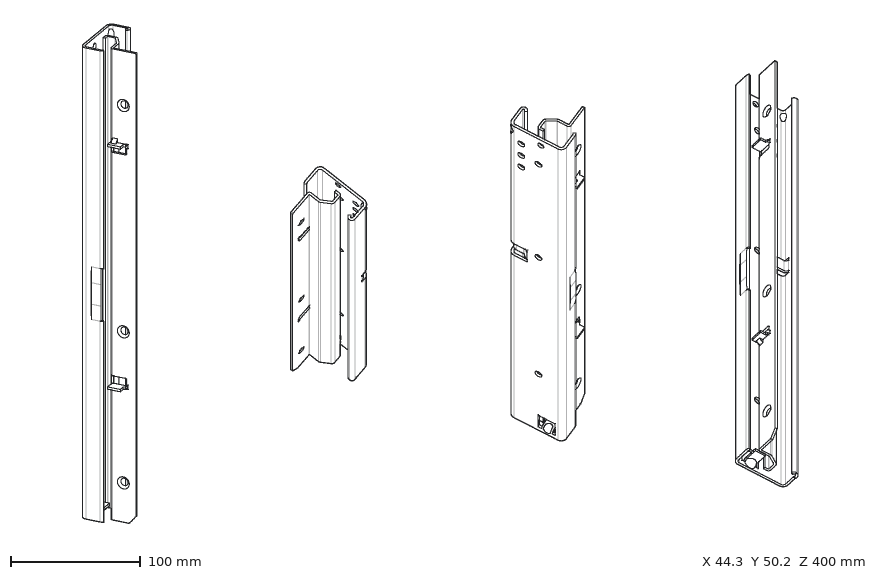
import cadquery as cq
import math

total_width = 44.3
total_depth = 50.2
total_length = 400.0
top_z = total_length

sheet = 2.2
rail_sheet = 2.0
stop_drop = 0.8
bottom_z = stop_drop
pad_height = 0.6

channel_front = pad_height
channel_back = total_depth
corner_radius = 4.8
web_mid_x = sheet / 2
corner_bend = corner_radius - sheet / 2
flange_flat_end = 16.9
front_curl_angle = 30
front_curl_bend = 4.9
front_curl_tip = 0.05
back_curl_bend = 2.0
back_curl_return = 60
back_curl_drop = 3.2
back_curl_tip = 2.2

web_hole_diameter = 6.0
mounting_column = 11.4
mounting_hole_drops = (19.0, 34.8, 50.6)
center_column = 27.1
center_hole_drops = (34.8, 162.4, 322.4)
end_hole_diameter = 5.2
end_hole_column = 29.2
end_hole_drop = 7.6

bridge_mid_z = 231.4
bridge_window_height = 15.7
bridge_height = 10.8
bridge_window_reach = 16.9
bridge_flat_reach = 11.8
bridge_inner_x = 6.0
bridge_ramp_bend = 1.5

dimple_drop = 7.4
dimple_radius = 3.9

tab_window_near = 26.5
tab_window_size = 15.7
tab_window_bottom = 5.4
tab_near = 30.0
tab_width = 9.7
tab_reach_x = 15.7
tab_bend = 3.3
tab_dent_radius = 3.9
tab_dent_inset = 2.5

lug_start_x = 15.0
lug_depth = 3.0

pad_bottom = 171.0
pad_length = 44.6
pad_slope_length = 13.2
pad_start_x = 9.6
pad_end_x = 18.1

flange_back_y = 10.3
rail_flange_mid_y = flange_back_y - rail_sheet / 2
rail_wall_mid_x = 22.9
rail_wall_top_y = 19.8
rail_crest_mid_y = 28.5
rail_crest_end_x = 17.5
rail_lip_mid_x = 9.1
rail_lip_end_y = 23.9
rail_bend = 1.3
rail_slant_bend = 2.0

flange_chamfer_x = 6.0
flange_chamfer_z = 7.2
flange_top_radius = 1.2

screw_x = 33.4
screw_drops = (46.1, 237.8, 365.8)
screw_diameter = 6.0
screw_sink_diameter = 10.2

hook_folds = ((78.5, 1), (286.0, -1))
hook_window_height = 9.1
hook_window_left = 22.2
hook_window_right = 36.2
hook_relief_right = 37.3
hook_relief_height = 3.6
hook_left = 22.9
hook_right = 33.9
hook_root_right = 35.4
hook_root_depth = 1.4
hook_front_y = 2.0
hook_corner_radius = 1.2
hook_rib_left = 24.0
hook_rib_width = 4.4
hook_rib_size = 3.2


def box(x, y, z):
    """Block between the (low, high) limits along each axis."""
    block = cq.Workplane("XY").box(x[1] - x[0], y[1] - y[0], z[1] - z[0], centered=False)
    return block.translate((x[0], y[0], z[0]))


def prism_along_x(points_yz, x):
    return cq.Workplane("YZ").polyline(points_yz).close().extrude(x[1] - x[0]).translate((x[0], 0, 0))


def bent_sheet(corners, bends, thickness, z):
    """Folded sheet along Z: corners of its mid line, and the mid-sheet radius at each inner corner."""
    points = [cq.Vector(x, y, 0) for x, y in corners]
    runs = [(end - start).normalized() for start, end in zip(points, points[1:])]
    normals = [cq.Vector(-run.y, run.x, 0) for run in runs]

    def side(offset):
        """Start point of one face, the (start, middle, end) of each of its arcs, and its end point."""
        arcs = []
        for i, radius in enumerate(bends):
            corner = points[i + 1]
            turn = runs[i].getAngle(runs[i + 1])
            turn_side = math.copysign(1, runs[i].cross(runs[i + 1]).z)
            setback = radius * math.tan(turn / 2)
            start = corner - runs[i] * setback
            end = corner + runs[i + 1] * setback
            center = start + normals[i] * (turn_side * radius)
            middle = center + (corner - center).normalized() * (radius - turn_side * offset)
            arcs.append((start + normals[i] * offset, middle, end + normals[i + 1] * offset))
        return points[0] + normals[0] * offset, arcs, points[-1] + normals[-1] * offset

    left_start, left_arcs, left_end = side(thickness / 2)
    right_start, right_arcs, right_end = side(-thickness / 2)
    outline = cq.Workplane("XY").moveTo(left_start.x, left_start.y)
    for start, middle, end in left_arcs:
        outline = outline.lineTo(start.x, start.y).threePointArc((middle.x, middle.y), (end.x, end.y))
    outline = outline.lineTo(left_end.x, left_end.y).lineTo(right_end.x, right_end.y)
    for start, middle, end in reversed(right_arcs):
        outline = outline.lineTo(end.x, end.y).threePointArc((middle.x, middle.y), (start.x, start.y))
    outline = outline.lineTo(right_start.x, right_start.y).close()
    return outline.extrude(z[1] - z[0]).translate((0, 0, z[0]))


def channel_sheet(z):
    front_y = channel_front + sheet / 2
    back_y = channel_back - sheet / 2
    curl = math.radians(front_curl_angle)
    setback = front_curl_bend * math.tan(curl / 2)
    front_bend_x = flange_flat_end + setback
    tip_leg = setback + front_curl_tip
    front_tip = (front_bend_x + tip_leg * math.cos(curl), front_y + tip_leg * math.sin(curl))
    back_bend_x = flange_flat_end + back_curl_bend
    back_low_y = back_y - back_curl_drop
    back_turn = math.radians(back_curl_return)
    back_tip = (
        back_bend_x - back_curl_tip * math.sin(back_turn),
        back_low_y - back_curl_tip * math.cos(back_turn),
    )
    corners = [
        front_tip,
        (front_bend_x, front_y),
        (web_mid_x, front_y),
        (web_mid_x, back_y),
        (back_bend_x, back_y),
        (back_bend_x, back_low_y),
        back_tip,
    ]
    bends = [front_curl_bend, corner_bend, corner_bend, back_curl_bend, back_curl_bend]
    return bent_sheet(corners, bends, sheet, z)


def web_holes(diameter, column, drops):
    spots = [(channel_back - column, top_z - drop) for drop in drops]
    return cq.Workplane("YZ").pushPoints(spots).circle(diameter / 2).extrude(sheet)


def add_bridge(body):
    mid_x = bridge_inner_x - sheet / 2
    flange_y = channel_back - sheet / 2
    ramp_start_y = channel_back - bridge_flat_reach
    ramp_end_y = channel_back - bridge_window_reach
    joint_x = mid_x + corner_bend
    half_window = bridge_window_height / 2
    half_bridge = bridge_height / 2
    window = box(
        (0, joint_x),
        (ramp_end_y, channel_back),
        (bridge_mid_z - half_window, bridge_mid_z + half_window),
    )
    strip = bent_sheet(
        [
            (joint_x + sheet, flange_y),
            (mid_x, flange_y),
            (mid_x, ramp_start_y),
            (web_mid_x, ramp_end_y),
            (web_mid_x, ramp_end_y - sheet),
        ],
        [corner_bend, bridge_ramp_bend, bridge_ramp_bend],
        sheet,
        (bridge_mid_z - half_bridge, bridge_mid_z + half_bridge),
    )
    return body.cut(window).union(strip)


def add_dimple(body):
    spot = (0, channel_back, top_z - dimple_drop)
    outer_radius = dimple_radius + sheet
    inside = box(
        (sheet / 2, outer_radius),
        (channel_back - outer_radius, channel_back - sheet / 2),
        (spot[2] - outer_radius, spot[2] + outer_radius),
    )
    bump = cq.Workplane("XY").sphere(outer_radius).translate(spot).intersect(inside)
    hollow = cq.Workplane("XY").sphere(dimple_radius).translate(spot)
    return body.union(bump).cut(hollow)


def add_stop_tab(body):
    window_y = channel_back - tab_window_near
    window = box(
        (0, sheet),
        (window_y - tab_window_size, window_y),
        (tab_window_bottom, tab_window_bottom + tab_window_size),
    )
    tab_y = channel_back - tab_near
    tab_top = tab_window_bottom + tab_bend
    tab = (
        cq.Workplane("XZ")
        .moveTo(0, tab_window_bottom)
        .radiusArc((tab_bend, tab_top), tab_bend)
        .lineTo(tab_reach_x, tab_top)
        .lineTo(tab_reach_x, tab_top - sheet)
        .lineTo(tab_bend, tab_top - sheet)
        .radiusArc((sheet, tab_window_bottom), -(tab_bend - sheet))
        .close()
        .extrude(tab_width)
        .translate((0, tab_y, 0))
    )
    dent_spot = (tab_dent_inset, tab_y - tab_width / 2, tab_top - tab_dent_inset)
    below_tab = box(
        (sheet / 2, tab_reach_x),
        (tab_y - tab_width, tab_y),
        (0, tab_top - sheet / 2),
    )
    bump_radius = tab_dent_radius + sheet / 2
    bump = cq.Workplane("XY").sphere(bump_radius).translate(dent_spot).intersect(below_tab)
    dent = cq.Workplane("XY").sphere(tab_dent_radius).translate(dent_spot)
    return body.cut(window).union(tab).union(bump).cut(dent)


def stop_lug():
    reach = box(
        (lug_start_x, total_width),
        (channel_back - lug_depth, channel_back),
        (0, bottom_z),
    )
    return channel_sheet((0, bottom_z)).intersect(reach)


def add_pad(body):
    pad_top = pad_bottom + pad_length
    trim = box(
        (pad_end_x, rail_wall_mid_x),
        (0, channel_front + 2 * sheet),
        (pad_bottom, pad_top),
    )
    pad = prism_along_x(
        [
            (channel_front + sheet / 2, pad_bottom),
            (channel_front, pad_bottom),
            (0, pad_bottom + pad_slope_length),
            (0, pad_top - pad_slope_length),
            (channel_front, pad_top),
            (channel_front + sheet / 2, pad_top),
        ],
        (pad_start_x, pad_end_x),
    )
    return body.cut(trim).union(pad)


def make_channel():
    body = channel_sheet((bottom_z, top_z)).union(stop_lug())
    body = body.cut(web_holes(web_hole_diameter, mounting_column, mounting_hole_drops))
    body = body.cut(web_holes(web_hole_diameter, center_column, center_hole_drops))
    body = body.cut(web_holes(end_hole_diameter, end_hole_column, [end_hole_drop]))
    body = add_bridge(body)
    body = add_dimple(body)
    body = add_stop_tab(body)
    return add_pad(body)


def rail_sheet_body():
    corners = [
        (total_width, rail_flange_mid_y),
        (rail_wall_mid_x, rail_flange_mid_y),
        (rail_wall_mid_x, rail_wall_top_y),
        (rail_crest_end_x, rail_crest_mid_y),
        (rail_lip_mid_x, rail_crest_mid_y),
        (rail_lip_mid_x, rail_lip_end_y),
    ]
    bends = [rail_bend, rail_slant_bend, rail_slant_bend, rail_bend]
    return bent_sheet(corners, bends, rail_sheet, (bottom_z, top_z))


def shape_flange_corners(body):
    body = body.edges("|Y and >X and >Z").fillet(flange_top_radius)
    cutter = (
        cq.Workplane("XZ")
        .polyline([
            (total_width - flange_chamfer_x, bottom_z),
            (total_width, bottom_z),
            (total_width, bottom_z + flange_chamfer_z),
        ])
        .close()
        .extrude(-total_depth)
    )
    return body.cut(cutter)


def screw_hole(drop):
    """Through hole, countersunk from the front face of the flange."""
    front_y = flange_back_y - rail_sheet
    plane = cq.Plane(origin=(screw_x, front_y, top_z - drop), xDir=(1, 0, 0), normal=(0, 1, 0))
    hole = cq.Workplane(plane).circle(screw_diameter / 2).extrude(rail_sheet)
    sink_depth = (screw_sink_diameter - screw_diameter) / 2
    sink = (
        cq.Workplane(plane)
        .circle(screw_sink_diameter / 2)
        .workplane(offset=sink_depth)
        .circle(screw_diameter / 2)
        .loft()
    )
    return hole.union(sink)


def add_hook(body, drop, direction):
    """Hook in a flange window; the shapes are made for a window below the fold, then mirrored if needed."""
    front_y = flange_back_y - rail_sheet
    window = box((hook_window_left, hook_window_right), (front_y, flange_back_y), (-hook_window_height, 0))
    window = window.edges("|Y and >X and <Z").fillet(hook_corner_radius)
    relief = box((hook_window_left, hook_relief_right), (front_y, flange_back_y), (-hook_relief_height, 0))
    hook = (
        cq.Workplane("XY")
        .polyline([
            (hook_left, flange_back_y),
            (hook_root_right, flange_back_y),
            (hook_root_right, front_y - hook_root_depth / 2),
            (hook_right, front_y - hook_root_depth),
            (hook_right, hook_front_y),
            (hook_left, hook_front_y),
        ])
        .close()
        .extrude(-rail_sheet)
    )
    rib = prism_along_x(
        [(front_y, 0), (front_y - hook_rib_size, 0), (front_y, hook_rib_size)],
        (hook_rib_left, hook_rib_left + hook_rib_width),
    )

    def place(shape):
        if direction < 0:
            shape = shape.mirror("XY")
        return shape.translate((0, 0, top_z - drop))

    return body.cut(place(window.union(relief))).union(place(hook.union(rib)))


def make_rail():
    body = shape_flange_corners(rail_sheet_body())
    for drop in screw_drops:
        body = body.cut(screw_hole(drop))
    for drop, direction in hook_folds:
        body = add_hook(body, drop, direction)
    return body


channel = make_channel()
rail = make_rail()
result = cq.Compound.makeCompound([channel.solids().val(), rail.solids().val()])